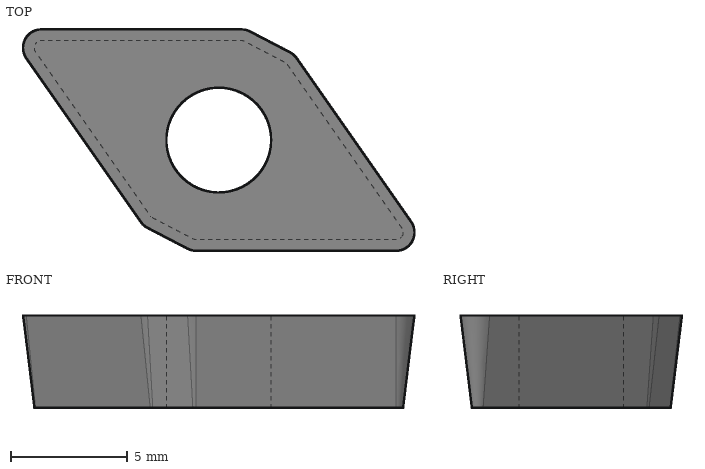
import cadquery as cq
import math

length = 16.83
inscribed_diameter = 9.53
thickness = 3.97
nose_angle = 55.0
clearance_angle = 7.0
hole_diameter = 4.5

inscribed_radius = inscribed_diameter / 2
half_nose_angle = math.radians(nose_angle / 2)

nose_x = inscribed_radius / math.tan(half_nose_angle)
nose_y = inscribed_radius

corner_radius = (nose_x - length / 2) / (1 / math.tan(half_nose_angle) - 1)

blunt_distance = inscribed_radius / math.cos(half_nose_angle / 2)


def blunt_corner(turn):
    """Corner between two tangent sides, turned clockwise from +Y."""
    return (blunt_distance * math.sin(turn), blunt_distance * math.cos(turn))


def opposite(point):
    return (-point[0], -point[1])


half_outline = [
    (-nose_x, nose_y),
    blunt_corner(half_nose_angle / 2),
    blunt_corner(half_nose_angle * 3 / 2),
]
outline = half_outline + [opposite(point) for point in half_outline]

top_face = (
    cq.Sketch()
    .polygon(outline + outline[:1])
    .vertices()
    .fillet(corner_radius)
)

body = (
    cq.Workplane("XY", origin=(0, 0, thickness))
    .placeSketch(top_face)
    .extrude(-thickness, taper=clearance_angle)
)

hole = cq.Workplane("XY").circle(hole_diameter / 2).extrude(thickness)

result = body.cut(hole)